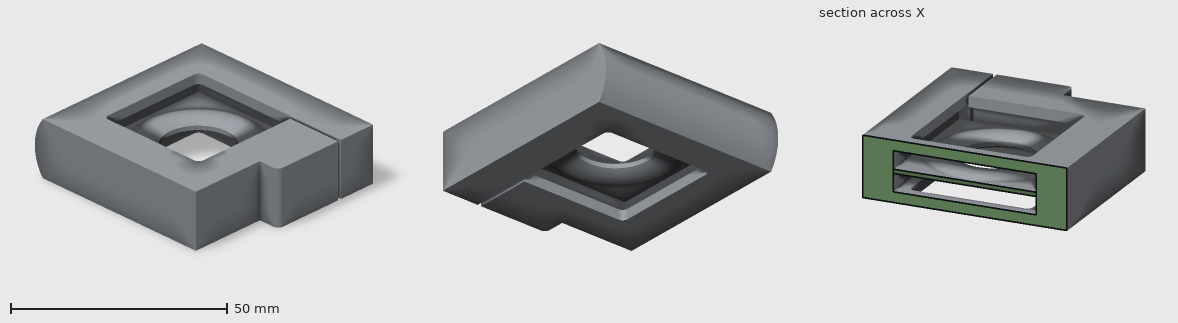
import cadquery as cq

LENGTH = 58.5
DEPTH = 52.0
HEIGHT = 15.5
NOSE_BULGE = 2.6
FOOT_LENGTH = 52.55
STEP_Y = 20.95
CORNER_RADIUS = 1.45

WINDOW_SIDE = 30.9
WINDOW_X = 27.5
WINDOW_Y = DEPTH / 2
WINDOW_RIGHT_X = WINDOW_X + WINDOW_SIDE / 2
WINDOW_BACK_Y = WINDOW_Y + WINDOW_SIDE / 2
SLIT_WIDTH = 0.95

GROOVE_OVERHANG = 2.7
GROOVE_SIDE = WINDOW_SIDE + 2 * GROOVE_OVERHANG
LIP_THICKNESS = 2.75
GROOVE_HEIGHT = HEIGHT - 2 * LIP_THICKNESS
PLATE_THICKNESS = 1.15
PLATE_BOTTOM_Z = (HEIGHT - PLATE_THICKNESS) / 2

RING_OUTER_RADIUS = 17.7
CROWN_OUTER_RADIUS = 17.15
RING_HOLE_RADIUS = 9.25
CROWN_HEIGHT = 1.2


def square_block(side, bottom_z, height):
    """Square block centred on the window axis."""
    return (
        cq.Workplane("XY", origin=(WINDOW_X, WINDOW_Y, bottom_z))
        .rect(side, side)
        .extrude(height)
    )


def make_housing_blank():
    """Stepped block with a cylindrical -X side."""
    profile = (
        cq.Workplane("XZ")
        .moveTo(NOSE_BULGE, 0)
        .lineTo(LENGTH, 0)
        .lineTo(LENGTH, HEIGHT)
        .lineTo(NOSE_BULGE, HEIGHT)
        .threePointArc((0, HEIGHT / 2), (NOSE_BULGE, 0))
        .close()
        .extrude(-DEPTH)
    )
    step = cq.Workplane("XY").box(LENGTH - FOOT_LENGTH, STEP_Y, HEIGHT, centered=False)
    blank = profile.cut(step.translate((FOOT_LENGTH, 0, 0)))
    corner = cq.selectors.NearestToPointSelector((LENGTH, STEP_Y, HEIGHT / 2))
    return blank.edges("|Z").edges(corner).fillet(CORNER_RADIUS)


def make_housing():
    """Housing with its window, plate groove and the slit that opens the +X side."""
    window = square_block(WINDOW_SIDE, 0, HEIGHT)
    slit_corner = cq.selectors.NearestToPointSelector((WINDOW_RIGHT_X, WINDOW_BACK_Y, HEIGHT / 2))
    rounded_corners = cq.selectors.SubtractSelector(cq.selectors.StringSyntaxSelector("|Z"), slit_corner)
    window = window.edges(rounded_corners).fillet(CORNER_RADIUS)
    groove = square_block(GROOVE_SIDE, LIP_THICKNESS, GROOVE_HEIGHT)
    slit = (
        cq.Workplane("XY")
        .box(LENGTH - WINDOW_RIGHT_X, SLIT_WIDTH, HEIGHT, centered=False)
        .translate((WINDOW_RIGHT_X, WINDOW_BACK_Y - SLIT_WIDTH, 0))
    )
    return make_housing_blank().cut(window).cut(groove).cut(slit)


def make_plate():
    """Square plate across the middle of the groove, with a round seat for the ring."""
    plate = square_block(GROOVE_SIDE, PLATE_BOTTOM_Z, PLATE_THICKNESS)
    return plate.faces(">Z").workplane(origin=(WINDOW_X, WINDOW_Y)).hole(2 * RING_OUTER_RADIUS)


def make_ring():
    """Ring with a convex crown on both sides and a narrow flat border flush with the plate."""
    crown_radius = (RING_HOLE_RADIUS + CROWN_OUTER_RADIUS) / 2
    return (
        cq.Workplane("XZ")
        .moveTo(RING_HOLE_RADIUS, 0)
        .threePointArc((crown_radius, -CROWN_HEIGHT), (CROWN_OUTER_RADIUS, 0))
        .lineTo(RING_OUTER_RADIUS, 0)
        .lineTo(RING_OUTER_RADIUS, PLATE_THICKNESS)
        .lineTo(CROWN_OUTER_RADIUS, PLATE_THICKNESS)
        .threePointArc(
            (crown_radius, PLATE_THICKNESS + CROWN_HEIGHT),
            (RING_HOLE_RADIUS, PLATE_THICKNESS),
        )
        .close()
        .revolve(360, (0, 0, 0), (0, 1, 0))
        .translate((WINDOW_X, WINDOW_Y, PLATE_BOTTOM_Z))
    )


housing = make_housing()
plate = make_plate()
ring = make_ring()

result = cq.Compound.makeCompound([housing.val(), plate.val(), ring.val()])